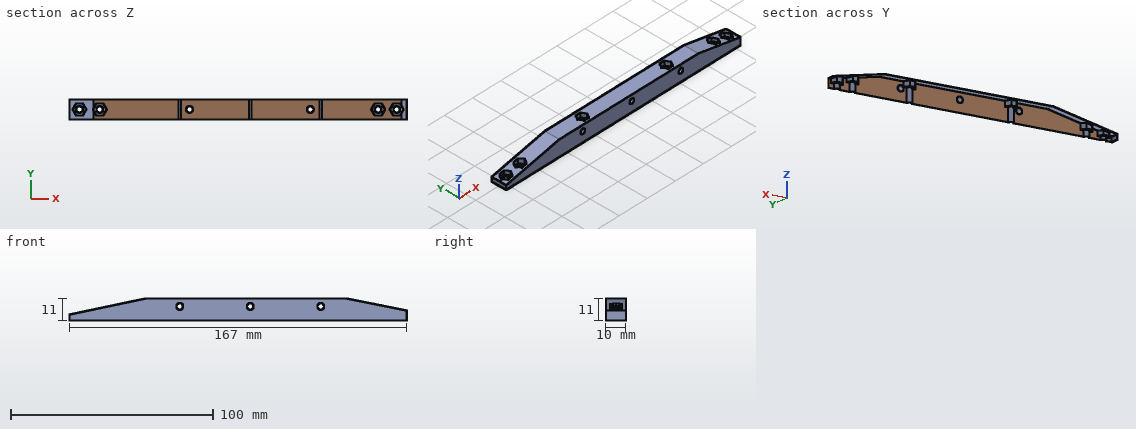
import cadquery as cq
import math

LENGTH = 167.0
WIDTH = 10.0
HEIGHT = 11.0
LEFT_END_HEIGHT = 3.0
RIGHT_END_HEIGHT = 5.0
LEFT_RAMP_LENGTH = 37.9
RIGHT_RAMP_LENGTH = 30.0

HOLE_DIAMETER = 3.2

CROSS_HOLE_CENTER_X = 89.5
CROSS_HOLE_SPACING = 34.9
CROSS_HOLE_Z = 7.0

NUT_ACROSS_FLATS = 5.8
NUT_ACROSS_CORNERS = NUT_ACROSS_FLATS / math.cos(math.pi / 6)
NUT_POCKETS = [
    (5.0, 2.0),
    (15.0, 3.5),
    (59.5, 8.0),
    (119.2, 8.0),
    (152.8, 5.0),
    (162.0, 3.0),
]


def make_bar():
    profile = [
        (0, 0),
        (LENGTH, 0),
        (LENGTH, RIGHT_END_HEIGHT),
        (LENGTH - RIGHT_RAMP_LENGTH, HEIGHT),
        (LEFT_RAMP_LENGTH, HEIGHT),
        (0, LEFT_END_HEIGHT),
    ]
    return cq.Workplane("XZ").polyline(profile).close().extrude(WIDTH / 2, both=True)


def make_cross_holes():
    centers = [(CROSS_HOLE_CENTER_X + i * CROSS_HOLE_SPACING, CROSS_HOLE_Z) for i in (-1, 0, 1)]
    holes = cq.Workplane("XZ").pushPoints(centers).circle(HOLE_DIAMETER / 2)
    return holes.extrude(WIDTH, both=True)


def make_screw_cut(x, floor_z):
    """Through hole plus a nut pocket whose corners point along X."""
    hole = cq.Workplane("XY").center(x, 0).circle(HOLE_DIAMETER / 2).extrude(HEIGHT)
    pocket = cq.Workplane("XY", origin=(x, 0, floor_z)).polygon(6, NUT_ACROSS_CORNERS).extrude(HEIGHT)
    return hole.union(pocket)


result = make_bar().cut(make_cross_holes())
for screw_x, pocket_floor_z in NUT_POCKETS:
    result = result.cut(make_screw_cut(screw_x, pocket_floor_z))